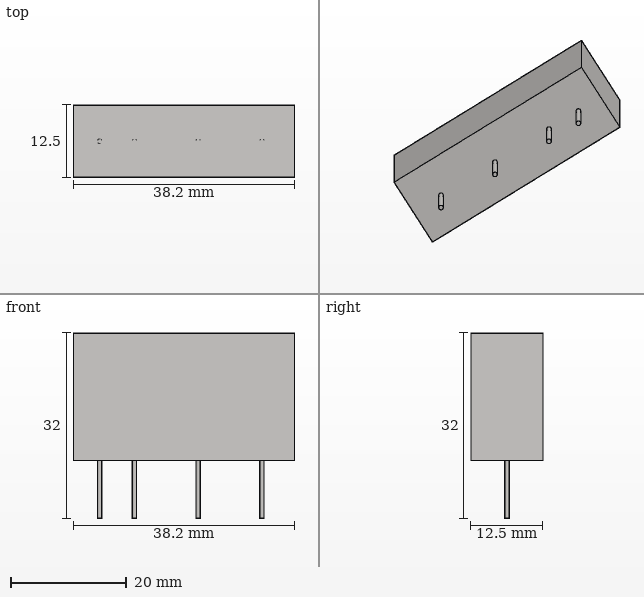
import cadquery as cq

body_length = 38.2
body_width = 12.5
body_height = 22.0

pin_diameter = 0.8
pin_length = 10.0
first_pin_inset = 4.55
narrow_pitch = 6.0
wide_pitch = 11.0

first_pin_x = first_pin_inset - body_length / 2
second_pin_x = first_pin_x + narrow_pitch
third_pin_x = second_pin_x + wide_pitch
fourth_pin_x = third_pin_x + wide_pitch
pin_positions = [(x, 0) for x in (first_pin_x, second_pin_x, third_pin_x, fourth_pin_x)]


def make_body():
    """Plain block resting on the XY plane."""
    return cq.Workplane("XY").box(body_length, body_width, body_height, centered=(True, True, False))


def make_pins():
    """Straight pins hanging down from the underside of the body."""
    return cq.Workplane("XY").pushPoints(pin_positions).circle(pin_diameter / 2).extrude(-pin_length)


result = make_body().union(make_pins())